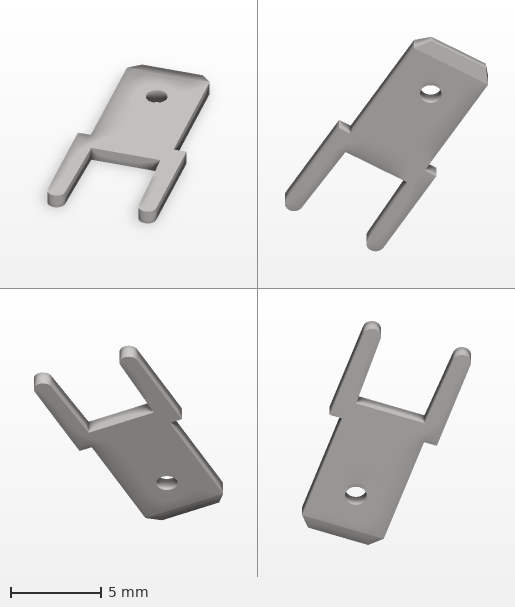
import cadquery as cq

length = 13.8
width = 6.3
thickness = 0.8

blade_width = 4.8
blade_length = 7.6
tip_length = 0.8
tip_width = 3.53
tip_thickness = 0.4

hole_diameter = 1.2
hole_from_tip = 3.0

leg_length = 5.0
leg_root_width = 1.15
leg_end_width = 1.02

y_tip = length / 2
y_taper = y_tip - tip_length
y_shoulder = y_tip - blade_length
y_end = -length / 2
y_crotch = y_end + leg_length
leg_end_radius = leg_end_width / 2
y_round = y_end + leg_end_radius
x_side = width / 2
x_leg_inner = x_side - leg_end_width
x_leg_middle = x_side - leg_end_radius
x_crotch = x_side - leg_root_width


def plate():
    """Flat outline of blade, shoulders and legs, extruded about Z = 0."""
    return (
        cq.Workplane("XY")
        .moveTo(-tip_width / 2, y_tip)
        .lineTo(tip_width / 2, y_tip)
        .lineTo(blade_width / 2, y_taper)
        .lineTo(blade_width / 2, y_shoulder)
        .lineTo(x_side, y_shoulder)
        .lineTo(x_side, y_round)
        .threePointArc((x_leg_middle, y_end), (x_leg_inner, y_round))
        .lineTo(x_crotch, y_crotch)
        .lineTo(-x_crotch, y_crotch)
        .lineTo(-x_leg_inner, y_round)
        .threePointArc((-x_leg_middle, y_end), (-x_side, y_round))
        .lineTo(-x_side, y_shoulder)
        .lineTo(-blade_width / 2, y_shoulder)
        .lineTo(-blade_width / 2, y_taper)
        .close()
        .extrude(thickness / 2, both=True)
    )


def side_profile():
    """Side silhouette, thinning at the tip on both faces, across the full width."""
    return (
        cq.Workplane("YZ")
        .moveTo(y_end, -thickness / 2)
        .lineTo(y_taper, -thickness / 2)
        .lineTo(y_tip, -tip_thickness / 2)
        .lineTo(y_tip, tip_thickness / 2)
        .lineTo(y_taper, thickness / 2)
        .lineTo(y_end, thickness / 2)
        .close()
        .extrude(width / 2, both=True)
    )


def hole():
    """Round hole right through the blade."""
    return (
        cq.Workplane("XY")
        .center(0, y_tip - hole_from_tip)
        .circle(hole_diameter / 2)
        .extrude(thickness, both=True)
    )


result = plate().intersect(side_profile()).cut(hole())